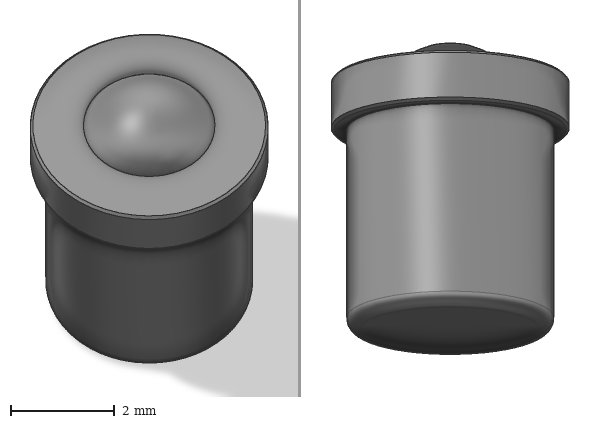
import cadquery as cq

total_height = 5.7
body_diameter = 4.0
flange_diameter = 4.6

ball_protrusion = 0.7
flange_thickness = 1.0
flange_top = total_height - ball_protrusion
flange_bottom = flange_top - flange_thickness

ball_radius = 1.5
body_edge_radius = 0.25
flange_chamfer = 0.05


def make_body():
    """Cylindrical sleeve with a rounded lower edge."""
    body = cq.Workplane("XY").circle(body_diameter / 2).extrude(flange_top)
    return body.faces("<Z").edges().fillet(body_edge_radius)


def make_flange():
    """Collar with both outer edges chamfered."""
    flange = cq.Workplane("XY").workplane(offset=flange_bottom)
    flange = flange.circle(flange_diameter / 2).extrude(flange_thickness)
    return flange.edges().chamfer(flange_chamfer)


def make_ball():
    """Ball whose cap stands proud of the flange."""
    ball_center_height = total_height - ball_radius
    return cq.Workplane("XY").sphere(ball_radius).translate((0, 0, ball_center_height))


result = make_body().union(make_flange()).union(make_ball())